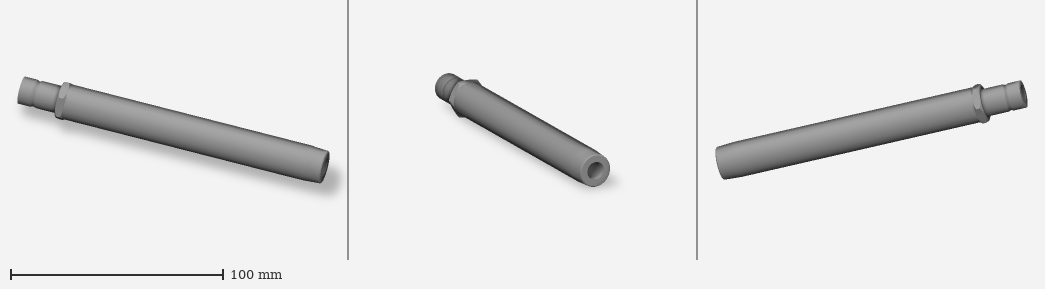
import cadquery as cq
import math

total_length = 150.0
hex_start = 19.0
hex_thickness = 3.9
taper_length = 9.0

bore_radius = 4.4
neck_radius = 6.6
hex_across_corners = 19.6
tube_diameter = 17.0
tip_diameter = 15.9
end_chamfer = 0.5

groove_start = 6.2
groove_width = 2.7
groove_depth = 0.52

hex_chamfer_angle = math.radians(40)

hex_end = hex_start + hex_thickness
flat_radius = hex_across_corners / 2 * math.cos(math.pi / 6)
tube_radius = tube_diameter / 2
tip_radius = tip_diameter / 2


def revolve_about_x(points):
    """Turn a closed outline of (x, radius) points about the X axis."""
    return cq.Workplane("XY").polyline(points).close().revolve(360, (0, 0, 0), (1, 0, 0))


def make_neck():
    groove_end = groove_start + groove_width
    groove_middle = groove_start + groove_width / 2
    return revolve_about_x([
        (0, 0),
        (0, neck_radius),
        (groove_start, neck_radius),
        (groove_middle, neck_radius - groove_depth),
        (groove_end, neck_radius),
        (hex_start, neck_radius),
        (hex_start, 0),
    ])


def make_hex_collar():
    """Hexagon with corners on the Y axis and both faces chamfered to the flats."""
    prism = (
        cq.Workplane("YZ", origin=(hex_start, 0, 0))
        .polygon(6, hex_across_corners)
        .extrude(hex_thickness)
    )
    half_thickness = hex_thickness / 2
    cone_peak = flat_radius + half_thickness / math.tan(hex_chamfer_angle)
    chamfer_cones = revolve_about_x([
        (hex_start, 0),
        (hex_start, flat_radius),
        (hex_start + half_thickness, cone_peak),
        (hex_end, flat_radius),
        (hex_end, 0),
    ])
    return prism.intersect(chamfer_cones)


def make_tube():
    """Plain tube with a gently tapered end and a small chamfer at its tip."""
    taper_start = total_length - taper_length
    chamfer_start = total_length - end_chamfer
    return revolve_about_x([
        (hex_end, 0),
        (hex_end, tube_radius),
        (taper_start, tube_radius),
        (chamfer_start, tip_radius),
        (total_length, tip_radius - end_chamfer),
        (total_length, 0),
    ])


bore = cq.Workplane("YZ").circle(bore_radius).extrude(total_length)
result = make_neck().union(make_hex_collar()).union(make_tube()).cut(bore)